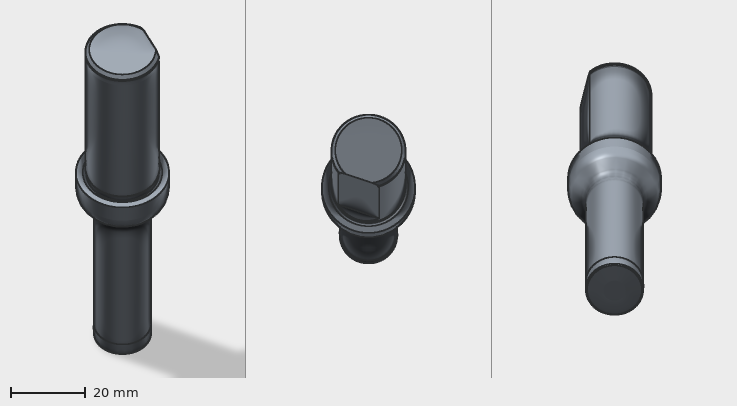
import cadquery as cq

total_length = 116.0
joint_z = 4.8

shank_radius = 20.0 / 2
groove_radius = 19.5 / 2
top_face_radius = 17.9 / 2
top_chamfer_height = 0.9
land_height = 0.6
groove_height = 0.7
groove_taper_height = 1.0
shank_bottom_z = 67.6
shank_end_taper_height = 0.5

flat_y = 8.1
flat_end_z = 71.2

collar_radius = 25.0 / 2
collar_top_z = 66.0
collar_edge_z = 60.7
recess_radius = 21.3 / 2
recess_depth = 0.5

blend_upper_pull = 5.6
blend_lower_pull = 4.6

stem_radius = 15.4 / 2
stem_top_z = 50.8

tip_bulge = 0.1
tip_rim_z = 0.8
tip_chamfer = 0.3
end_face_radius = 3.0


def make_holder_profile():
    """Half section of the holder: radius along local X, height along local Y."""
    land_top_z = total_length - top_chamfer_height
    groove_top_z = land_top_z - land_height
    groove_bottom_z = groove_top_z - groove_height
    taper_bottom_z = groove_bottom_z - groove_taper_height

    blend_controls = [
        (collar_radius, collar_edge_z - blend_upper_pull),
        (stem_radius, stem_top_z + blend_lower_pull),
        (stem_radius, stem_top_z),
    ]

    return (
        cq.Workplane("XZ")
        .moveTo(0, total_length)
        .lineTo(top_face_radius, total_length)
        .lineTo(shank_radius, land_top_z)
        .lineTo(shank_radius, groove_top_z)
        .lineTo(groove_radius, groove_top_z)
        .lineTo(groove_radius, groove_bottom_z)
        .lineTo(shank_radius, taper_bottom_z)
        .lineTo(shank_radius, shank_bottom_z)
        .lineTo(groove_radius, shank_bottom_z - shank_end_taper_height)
        .lineTo(groove_radius, collar_top_z - recess_depth)
        .lineTo(recess_radius, collar_top_z)
        .lineTo(collar_radius, collar_top_z)
        .lineTo(collar_radius, collar_edge_z)
        .bezier(blend_controls, includeCurrent=True)
        .lineTo(stem_radius, joint_z)
        .lineTo(0, joint_z)
        .close()
    )


def make_flat_cutter():
    """Material removed from the shank above the ramp at the end of the flat."""
    cut_depth = collar_radius - flat_y
    return (
        cq.Workplane("YZ")
        .moveTo(flat_y, total_length)
        .lineTo(flat_y, flat_end_z)
        .lineTo(collar_radius, flat_end_z - cut_depth)
        .lineTo(collar_radius, total_length)
        .close()
        .extrude(collar_radius, both=True)
    )


def make_holder():
    """Shank, collar and stem in one turned body with a flat on the shank."""
    turned = make_holder_profile().revolve(360, (0, 0, 0), (0, 1, 0))
    shank_zone = (
        cq.Workplane("XY")
        .workplane(offset=shank_bottom_z)
        .circle(collar_radius)
        .extrude(total_length - shank_bottom_z)
    )
    return turned.cut(make_flat_cutter().intersect(shank_zone))


def make_tip():
    """Barrel-shaped tip with a chamfered rim and a shallow cone down to a flat end."""
    return (
        cq.Workplane("XZ")
        .moveTo(0, joint_z)
        .lineTo(stem_radius, joint_z)
        .threePointArc(
            (stem_radius + tip_bulge, (joint_z + tip_rim_z) / 2),
            (stem_radius, tip_rim_z),
        )
        .lineTo(stem_radius - tip_chamfer, tip_rim_z - tip_chamfer)
        .lineTo(end_face_radius, 0)
        .lineTo(0, 0)
        .close()
        .revolve(360, (0, 0, 0), (0, 1, 0))
    )


holder = make_holder()
tip = make_tip()
result = cq.Compound.makeCompound([holder.val(), tip.val()])